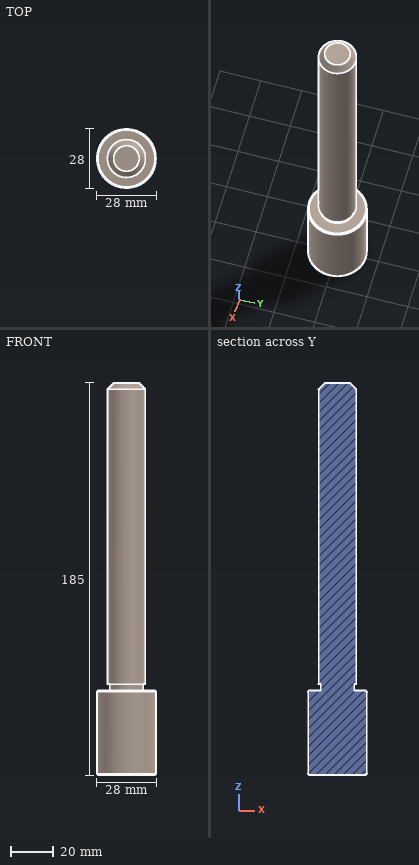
import cadquery as cq

total_length = 185.0
head_diameter = 28.0
head_height = 40.0
head_chamfer = 0.5
shank_diameter = 18.0
tip_chamfer = 3.0
neck_diameter = 16.0
neck_height = 3.0

shank_start = head_height + neck_height
shank_length = total_length - shank_start


def cylinder(diameter, base_height, length):
    """Upright cylinder on the Z axis."""
    return cq.Workplane("XY").workplane(offset=base_height).circle(diameter / 2).extrude(length)


head = cylinder(head_diameter, 0, head_height).edges("%CIRCLE").chamfer(head_chamfer)

neck = cylinder(neck_diameter, head_height, neck_height)

shank = cylinder(shank_diameter, shank_start, shank_length).faces(">Z").edges().chamfer(tip_chamfer)

result = head.union(neck).union(shank)